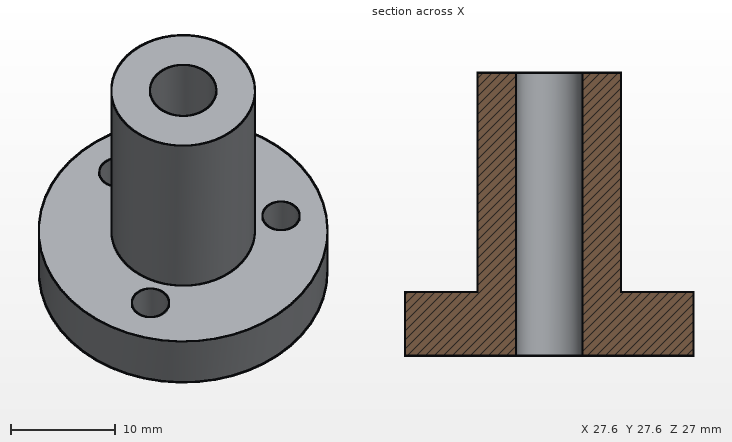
import cadquery as cq

flange_diameter = 27.55
flange_thickness = 6.12
total_height = 27.0

hub_diameter = 13.72
bore_diameter = 6.35

hole_count = 3
hole_diameter = 3.55
hole_circle_radius = 9.5
first_hole_angle = 180

flange = cq.Workplane("XY").circle(flange_diameter / 2).extrude(flange_thickness)

hub = cq.Workplane("XY").circle(hub_diameter / 2).extrude(total_height)

bore = cq.Workplane("XY").circle(bore_diameter / 2).extrude(total_height)

mounting_holes = (
    cq.Workplane("XY")
    .polarArray(hole_circle_radius, first_hole_angle, 360, hole_count)
    .circle(hole_diameter / 2)
    .extrude(flange_thickness)
)

result = flange.union(hub).cut(bore).cut(mounting_holes)